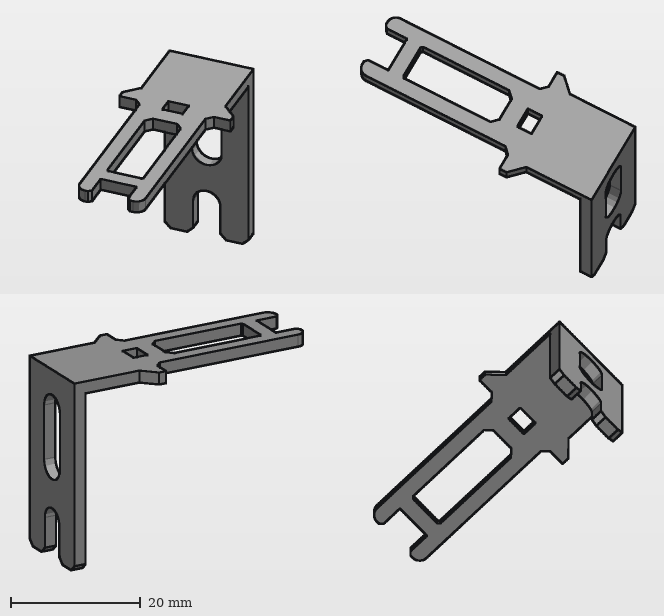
import cadquery as cq

thickness = 2.0
body_width = 14.0
edge_chamfer = 1.0

plate_length = 42.0
ear_span = 18.5
ear_slope_start = 11.5
ear_end = 15.0
arm_width = 11.0

small_hole_width = 3.4
small_hole_length = 2.5
small_hole_start = 13.5
window_width = 6.0
window_start = 19.0
window_end = 35.45
window_end_chamfer = 0.25
fork_start = 38.0
prong_tip_radius = 1.5
prong_inner_chamfer = 0.5

leg_height = 31.13
slot_width = 4.9
slot_top = 4.18
slot_length = 13.9
notch_width = 4.5
notch_top = 22.88


def plate():
    """Horizontal plate with sloped ears and two prongs rounded on the outside."""
    half_body = body_width / 2
    half_ear = ear_span / 2
    half_arm = arm_width / 2
    half_fork = window_width / 2
    ear_slope_end = ear_slope_start + half_ear - half_body

    tip_flat_x = half_arm - prong_tip_radius
    tip_arc_start_y = plate_length - prong_tip_radius

    half_outline = (
        cq.Workplane("XY")
        .moveTo(0, 0)
        .lineTo(half_body, 0)
        .lineTo(half_body, -ear_slope_start)
        .lineTo(half_ear, -ear_slope_end)
        .lineTo(half_ear, -ear_end)
        .lineTo(half_arm + edge_chamfer, -ear_end)
        .lineTo(half_arm, -ear_end - edge_chamfer)
        .lineTo(half_arm, -tip_arc_start_y)
        .radiusArc((tip_flat_x, -plate_length), prong_tip_radius)
        .lineTo(half_fork + prong_inner_chamfer, -plate_length)
        .lineTo(half_fork, -plate_length + prong_inner_chamfer)
        .lineTo(half_fork, -fork_start)
        .lineTo(0, -fork_start)
        .close()
    )
    half_plate = half_outline.extrude(-thickness)
    return half_plate.union(half_plate.mirror("YZ")).clean()


def plate_opening(width, start, end):
    """Rectangular cutter through the plate between two distances from Y = 0."""
    return (
        cq.Workplane("XY")
        .center(0, -(start + end) / 2)
        .rect(width, end - start)
        .extrude(-thickness)
    )


def window():
    """Long window cutter with large rear and small front corner chamfers."""
    cutter = plate_opening(window_width, window_start, window_end)
    cutter = cutter.edges("|Z and >Y").chamfer(edge_chamfer)
    return cutter.edges("|Z and <Y").chamfer(window_end_chamfer)


def leg():
    """Vertical leg with a closed slot and an open, round-topped notch."""
    blank = cq.Workplane("XY").box(
        body_width, thickness, leg_height, centered=(True, False, False)
    ).translate((0, -thickness, -leg_height))

    slot = (
        cq.Workplane("XZ")
        .center(0, -slot_top - slot_length / 2)
        .slot2D(slot_length, slot_width, 90)
        .extrude(thickness)
    )

    notch_radius = notch_width / 2
    notch_spring_z = -notch_top - notch_radius
    notch = (
        cq.Workplane("XZ")
        .moveTo(-notch_radius, -leg_height)
        .lineTo(-notch_radius, notch_spring_z)
        .threePointArc((0, -notch_top), (notch_radius, notch_spring_z))
        .lineTo(notch_radius, -leg_height)
        .close()
        .extrude(thickness)
    )
    pierced = blank.cut(slot).cut(notch)
    return pierced.faces("<Z").edges("|Y").chamfer(edge_chamfer)


small_hole = plate_opening(
    small_hole_width, small_hole_start, small_hole_start + small_hole_length
)
result = plate().union(leg()).cut(small_hole).cut(window())